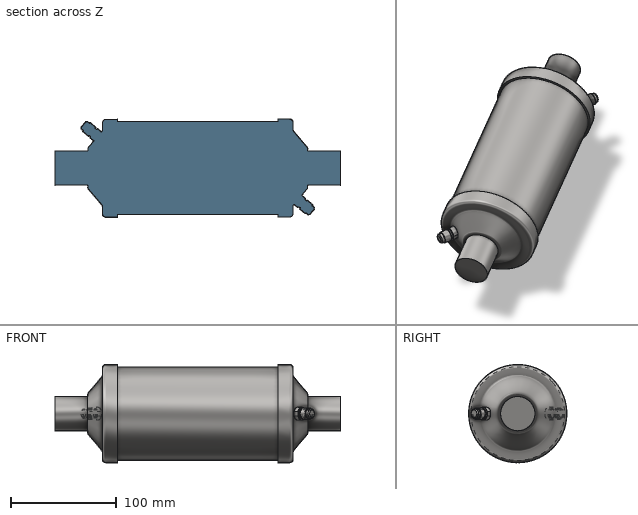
import cadquery as cq
import math

total_length = 270.0
cap_radius = 46.5
shell_radius = 44.3
pipe_radius = 16.2

pipe_length = 31.0
cone_length = 13.8
cap_width = 14.5

cone_tip_radius = 19.2
cone_base_radius = 35.5
cap_edge_fillet = 3.5
cone_base_fillet = 3.0
cone_tip_fillet = 2.7

fitting_end_inset = 27.0
fitting_end_offset = 41.3
tip_diameter = 9.2
tip_length = 3.8
tip_chamfer = 1.0
collar_diameter = 11.0
collar_end = 10.8
nut_diameter = 12.2
nut_flats = 11.3
nut_start = 12.7
nut_end = 20.8

half_length = total_length / 2
cone_tip_x = half_length - pipe_length
cap_face_x = cone_tip_x - cone_length
cap_inner_x = cap_face_x - cap_width
cone_normal_angle = math.atan2(cone_length, cone_base_radius - cone_tip_radius)


def cylinder_x(radius, half_span):
    """Cylinder along X, centred on the origin."""
    return cq.Workplane("YZ", origin=(-half_span, 0, 0)).circle(radius).extrude(2 * half_span)


def make_cap():
    """End cap on the +X side: a rounded band carrying a conical neck."""
    profile = [
        (cap_inner_x, 0),
        (cap_inner_x, cap_radius),
        (cap_face_x, cap_radius),
        (cap_face_x, cone_base_radius),
        (cone_tip_x, cone_tip_radius),
        (cone_tip_x, 0),
    ]
    cap = cq.Workplane("XY").polyline(profile).close().revolve(360, (0, 0, 0), (1, 0, 0))

    cap = cap.edges("%CIRCLE").edges(cq.selectors.RadiusNthSelector(1)).fillet(cone_base_fillet)
    cap = cap.faces(">X").edges().fillet(cone_tip_fillet)
    return cap.edges("%CIRCLE").edges(cq.selectors.RadiusNthSelector(-1)).edges(">X").fillet(cap_edge_fillet)


def make_fitting():
    """Service fitting square to the cone of the -X cap, on its +Y side."""
    inward = (math.cos(cone_normal_angle), -math.sin(cone_normal_angle), 0)
    plane = cq.Plane(
        origin=(fitting_end_inset - half_length, fitting_end_offset, 0),
        xDir=(0, 0, 1),
        normal=inward,
    )
    base = cq.Workplane(plane)
    stem = base.circle(tip_diameter / 2).extrude(nut_end).faces("<X").edges().chamfer(tip_chamfer)
    collar = base.workplane(offset=tip_length).circle(collar_diameter / 2).extrude(collar_end - tip_length)
    nut_length = nut_end - nut_start
    nut_base = base.workplane(offset=nut_start)
    nut = nut_base.circle(nut_diameter / 2).extrude(nut_length)
    nut = nut.intersect(nut_base.rect(nut_diameter, nut_flats).extrude(nut_length))
    return stem.union(collar).union(nut)


cap = make_cap()
fitting = make_fitting()
result = cylinder_x(shell_radius, cap_inner_x).union(cylinder_x(pipe_radius, half_length))
for turn in (0, 180):
    result = result.union(cap.rotate((0, 0, 0), (0, 0, 1), turn))
    result = result.union(fitting.rotate((0, 0, 0), (0, 0, 1), turn))